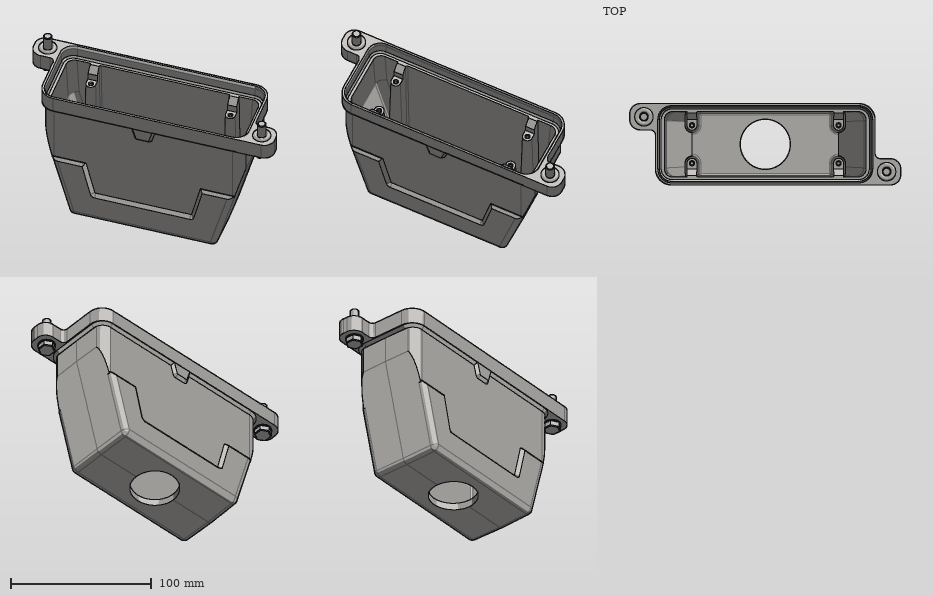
import cadquery as cq
import math

length = 193.0
depth = 58.0
flange_x = 156.3
flange_corner = 11.5
flange_bottom = 98.6
flange_top = 111.2
lug_width = 19.0
lug_corner = 7.7
lug_blend = 3.5

body_x = 150.5
body_y = 53.0
body_corner = 8.5
body_overlap = 2.0
taper_start = 76.2
bottom_x = 109.2
parting_draft = 1.0
under_flange = 2.1
under_flange_bevel = 45.0

band_top = 52.9
band_fillet = 4.2
recess_bottom = 24.9
recess_top_x = 85.7
recess_bottom_x = 72.2
recess_corner = 0.8
recess_bevel = 45.0

tab_y = 57.7
tab_bottom = 87.2
tab_top_x = 20.0
tab_bottom_x = 12.0
tab_corner = 2.5
tab_bevel = 40.0

seat_x = 152.9
seat_y = 55.0
seat_corner = 10.0
lead_in_bottom = 109.0
lead_in_draft = 20.0
seat_wall_bottom = 102.7
seat_wall_draft = 3.0
seat_bevel = 45.0
ledge = 101.3

cavity_x = 143.5
cavity_y = 46.7
cavity_corner = 6.2
floor = 5.8
floor_x = 104.2
floor_y = 44.0
floor_fillet = 1.2
slope_top = 70.5
slope_top_x = 140.1
cable_hole = 35.5

post_x = 52.1
post_y = 13.5
post_base_radius = 5.3
post_draft = 1.17
post_root = 1.2
post_seat = 91.0
post_step = 96.5
post_step_y = 17.5
post_slope_y = 22.2
post_hole = 2.3
post_hole_depth = 15.5
post_countersink = 3.7
countersink_angle = 90

screw_x = 86.3
screw_y = 19.5
pin = 6.2
pin_top = 122.7
pin_chamfer = 0.5
ring_tube = 3.5
ring_middle = 9.6
washer = 12.7
washer_thickness = 0.8
head_flats = 10.8
head_bottom = 93.6
head_chamfer = 0.5


def rounded_block(size_x, size_y, corner, z_low, z_high):
    block = cq.Workplane("XY").box(size_x, size_y, z_high - z_low, centered=(True, True, False))
    return block.edges("|Z").fillet(corner).translate((0, 0, z_low))


def tapered_block(size_x, size_y, corner, z_top, height, draft):
    """Rounded block that narrows downwards from z_top."""
    outline = cq.Sketch().rect(size_x, size_y).vertices().fillet(corner)
    return cq.Workplane("XY", origin=(0, 0, z_top)).placeSketch(outline).extrude(-height, taper=draft)


def turned(part):
    """The part together with its copy turned half a turn about Z."""
    return part.union(part.rotate((0, 0, 0), (0, 0, 1), 180))


def mirrored_y(part):
    return part.union(part.mirror("XZ"))


def half_width(z):
    """Half the outer X size of the hood at height z on the parting plane."""
    lean = (body_x - bottom_x) / 2 / taper_start
    return body_x / 2 - lean * max(taper_start - z, 0)


def half_slab(thickness, z_top):
    """The -Y half of the hood outline, pulled from the parting plane y = 0 with draft on its rim."""
    right = [(half_width(z), z) for z in (0, min(taper_start, z_top))]
    if z_top > taper_start:
        right.append((half_width(z_top), z_top))
    left = [(-x, z) for x, z in reversed(right)]
    return cq.Workplane("XZ").polyline(right + left).close().extrude(thickness / 2, taper=parting_draft)


def close_halves(half):
    """Join a half with its mirror image, keeping the parting edge."""
    return half.union(half.mirror("XZ"), clean=False)


def symmetric_prism(plane, right, thickness):
    """Outline mirrored about its vertical axis, extruded both ways to the given thickness."""
    left = [(-across, z) for across, z in reversed(right)]
    return cq.Workplane(plane).polyline(right + left).close().extrude(thickness / 2, both=True)


def trapezoid(bottom_width, bottom, top_width, top, corner):
    """Upright trapezoid centred on x = 0 with its two lower corners rounded."""
    points = [
        (-bottom_width / 2, bottom),
        (bottom_width / 2, bottom),
        (top_width / 2, top),
        (-top_width / 2, top),
        (-bottom_width / 2, bottom),
    ]
    return cq.Sketch().polygon(points).vertices("<Y").fillet(corner)


def make_flange():
    plate = rounded_block(flange_x, depth, flange_corner, flange_bottom, flange_top)
    lug_length = length / 2 - flange_x / 2 + 2 * flange_corner
    lug = (
        cq.Workplane("XY")
        .box(lug_length, lug_width, flange_top - flange_bottom, centered=False)
        .edges("|Z and <X").fillet(lug_corner)
        .translate((-length / 2, depth / 2 - lug_width, flange_bottom))
    )
    plate = plate.union(turned(lug))
    inner_corner = (-flange_x / 2, depth / 2 - lug_width, (flange_bottom + flange_top) / 2)
    for side in (1, -1):
        spot = (side * inner_corner[0], side * inner_corner[1], inner_corner[2])
        plate = plate.edges(cq.selectors.NearestToPointSelector(spot)).fillet(lug_blend)
    return plate


def make_upper_body():
    """Body above the band, overlapping the band below and the flange above."""
    top = flange_bottom + body_overlap
    slab = close_halves(half_slab(body_y, top))
    body = slab.intersect(rounded_block(body_x, body_y, body_corner, band_top - body_overlap, top))
    collar_x = body_x + 2 * under_flange
    collar_y = body_y + 2 * under_flange
    corner = body_corner + under_flange
    collar = tapered_block(collar_x, collar_y, corner, flange_bottom, under_flange, under_flange_bevel)
    return body.union(collar)


def make_band():
    step = (depth - body_y) / 2
    half = half_slab(depth, band_top)
    underside = half.faces(cq.selectors.NearestToPointSelector((0, -depth / 4, 0)))
    under_edges = underside.edges("not >Y").vals()
    side_edges = half.faces("<Y").edges("not(>Z or <Z)").vals()
    band = close_halves(half.newObject(under_edges + side_edges).fillet(band_fillet))
    top_bevel = (
        cq.Workplane("YZ", origin=(-body_x / 2, 0, 0))
        .moveTo(-depth / 2, band_top)
        .line(0, -step)
        .line(step, step)
        .close()
        .extrude(body_x)
    )
    band = band.cut(mirrored_y(top_bevel))
    outline = trapezoid(recess_bottom_x, recess_bottom, recess_top_x, band_top, recess_corner)
    recess = cq.Workplane("XZ", origin=(0, -body_y / 2, 0)).placeSketch(outline).extrude(step, taper=-recess_bevel)
    return band.cut(mirrored_y(recess))


def make_tabs():
    height = (tab_y - body_y) / 2
    outline = trapezoid(tab_bottom_x, tab_bottom, tab_top_x, flange_bottom + height, tab_corner)
    tab = cq.Workplane("XZ", origin=(0, -body_y / 2, 0)).placeSketch(outline).extrude(height, taper=tab_bevel)
    return mirrored_y(tab)


def make_posts():
    posts = None
    for side in (1, -1):
        wall_end = depth / 2 - post_y
        r = post_base_radius
        post = (
            cq.Workplane("XY", origin=(side * post_x, post_y, floor))
            .moveTo(-r, wall_end)
            .lineTo(-r, 0)
            .threePointArc((0, -r), (r, 0))
            .lineTo(r, wall_end)
            .close()
            .extrude(ledge - floor, taper=post_draft)
        )
        head_relief = (
            cq.Workplane("YZ", origin=(side * post_x - r, 0, 0))
            .moveTo(0, post_seat)
            .lineTo(post_step_y, post_seat)
            .lineTo(post_step_y, post_step)
            .lineTo(post_slope_y, ledge)
            .lineTo(0, ledge)
            .close()
            .extrude(2 * r)
        )
        post = post.cut(head_relief)
        post = (
            post.faces(cq.selectors.NearestToPointSelector((side * post_x, post_y, post_seat)))
            .workplane(origin=(side * post_x, post_y, post_seat))
            .cskHole(post_hole, post_countersink, countersink_angle, post_hole_depth)
        )
        posts = post if posts is None else posts.union(post)
    return mirrored_y(posts)


def make_seat():
    """Three stacked steps, each starting at the size where the one above ends."""
    steps = [
        (flange_top, lead_in_bottom, lead_in_draft),
        (lead_in_bottom, seat_wall_bottom, seat_wall_draft),
        (seat_wall_bottom, ledge, seat_bevel),
    ]
    seat = None
    inset = 0
    for top, bottom, draft in steps:
        step = tapered_block(
            seat_x - 2 * inset, seat_y - 2 * inset, seat_corner - inset, top, top - bottom, draft
        )
        seat = step if seat is None else seat.union(step)
        inset += (top - bottom) * math.tan(math.radians(draft))
    return seat


def make_cavity():
    ends = [(floor_x / 2, floor), (slope_top_x / 2, slope_top), (cavity_x / 2, ledge)]
    walls = [(floor_y / 2, floor), (cavity_y / 2, ledge)]
    bowl = symmetric_prism("XZ", ends, cavity_y).intersect(symmetric_prism("YZ", walls, cavity_x))
    bowl = bowl.edges("not(|X or |Y)").fillet(cavity_corner)
    bowl = bowl.cut(make_posts())
    for side in (1, -1):
        for wall in (1, -1):
            root = (side * (post_x - post_base_radius), wall * cavity_y / 2, ledge / 2)
            bowl = bowl.edges(cq.selectors.NearestToPointSelector(root)).fillet(post_root)
    for wall in (1, -1):
        floor_edge = cq.selectors.NearestToPointSelector((0, wall * floor_y / 2, floor))
        bowl = bowl.edges(floor_edge).fillet(floor_fillet)
    return bowl.union(make_seat())


def make_screw():
    threaded_end = (
        cq.Workplane("XY", origin=(0, 0, flange_top))
        .circle(pin / 2).extrude(pin_top - flange_top)
        .faces(">Z").chamfer(pin_chamfer)
    )
    sealing_ring = (
        cq.Workplane("XZ", origin=(0, 0, flange_top))
        .center(ring_middle / 2, 0)
        .circle(ring_tube / 2)
        .revolve(360, (-ring_middle / 2, 0), (-ring_middle / 2, 1))
    )
    lower_washer = (
        cq.Workplane("XY", origin=(0, 0, flange_bottom))
        .circle(washer / 2).extrude(-washer_thickness)
    )
    hex_head = (
        cq.Workplane("XY", origin=(0, 0, flange_bottom))
        .polygon(6, head_flats / math.cos(math.pi / 6)).extrude(head_bottom - flange_bottom)
        .rotate((0, 0, 0), (0, 0, 1), 90)
        .faces("<Z").chamfer(head_chamfer)
    )
    screw = threaded_end.union(sealing_ring).union(lower_washer).union(hex_head)
    return screw.translate((-screw_x, screw_y, 0))


hood = make_upper_body().union(make_band()).union(make_tabs()).union(make_flange())
hood = hood.cut(make_cavity())
hood = hood.cut(cq.Workplane("XY").circle(cable_hole / 2).extrude(flange_bottom))
result = hood.union(turned(make_screw()))